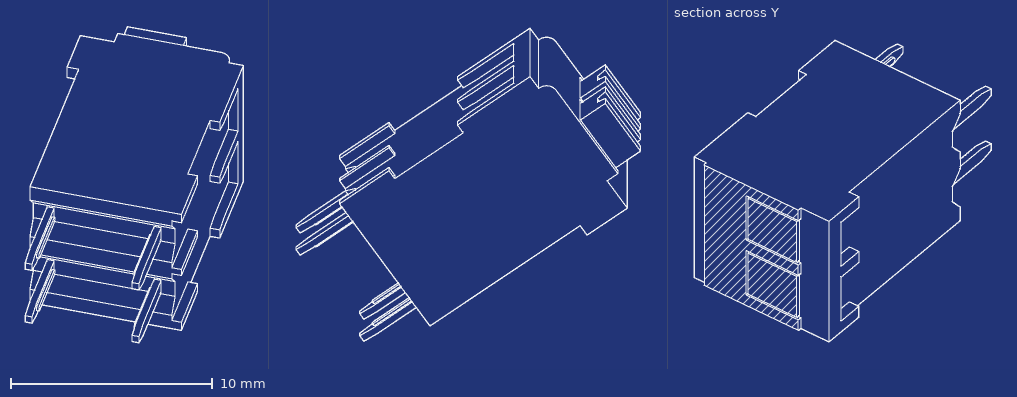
import cadquery as cq


pole_pitch = 3.5
pole_heights = (-pole_pitch / 2, pole_pitch / 2)

body_width = 7.8
body_length = 11.55
body_height = 7.7

head_left = 1.15
head_right = 7.05
head_end = 12.2
head_corner_radius = 0.6

button_left = 1.25
button_right = 4.3
button_end = 13.65
button_height = 2.65
button_notch_outer = 1.05
button_notch_inner = 0.55
button_notch_depth = 0.48
slot_right = 4.4
slot_height = 2.8
slot_chamfer_depth = 0.25
slot_chamfer_height = 0.2

frame_thickness = 0.6
frame_start = 9.1
frame_pocket_end = 10.55
pocket_height = 2.8

recess_depth = 0.5
recess_height = 3.1
gap_start = 3.0
gap_end = 7.15
mouth_taper_length = 0.8

groove_depth = 0.63
groove_mouth_height = 2.42
groove_floor_height = 0.98

pin_thickness = 0.36
pin_height = 0.8
pin_tip_height = 0.42
pin_length = 3.5
pin_taper_length = 0.8
left_pin_outer = 0.72
right_pin_outer = 6.58
rib_width = 0.34
rib_projection = 0.12
rib_start = -2.67
rib_length = 3.0


def box(x_start, x_end, y_start, y_end, z_center, height):
    """Block between two X and two Y limits, centred on a height."""
    size = (x_end - x_start, y_end - y_start, height)
    corner = cq.Vector(x_start, y_start, z_center - height / 2)
    return cq.Workplane(cq.Solid.makeBox(*size, corner))


def prism_along_x(points, x_start, x_end):
    """Closed (Y, Z) outline extruded between two X limits."""
    return cq.Workplane("YZ", origin=(x_start, 0, 0)).polyline(points).close().extrude(x_end - x_start)


def trapezoid_along_x(y_first, height_first, y_second, height_second, z_center, x_start, x_end):
    """Prism that changes height from one Y position to another."""
    points = [
        (y_first, z_center - height_first / 2),
        (y_second, z_center - height_second / 2),
        (y_second, z_center + height_second / 2),
        (y_first, z_center + height_first / 2),
    ]
    return prism_along_x(points, x_start, x_end)


def make_body():
    body = box(0, body_width, 0, body_length, 0, body_height)
    head_start = 2 * body_length - head_end
    head = box(head_left, head_right, head_start, head_end, 0, body_height)
    head = head.edges("|Z and >X and >Y").fillet(head_corner_radius)
    return body.union(head)


def add_left_frame(part):
    frame = box(-frame_thickness, 0, frame_start, body_length, 0, body_height)
    for z in pole_heights:
        frame = frame.cut(box(-frame_thickness, 0, frame_start, frame_pocket_end, z, pocket_height))
    return part.union(frame)


def cut_right_recess(part):
    recess_floor = body_width - recess_depth
    part = part.cut(box(recess_floor, body_width, gap_start, gap_end, 0, body_height))
    for z in pole_heights:
        part = part.cut(box(recess_floor, body_width, 0, gap_start, z, recess_height))
        part = part.cut(box(recess_floor, body_width, gap_end, frame_pocket_end, z, pocket_height))
        mouth = trapezoid_along_x(
            gap_end, recess_height, gap_end + mouth_taper_length, pocket_height,
            z, recess_floor, body_width,
        )
        part = part.cut(mouth)
    return part


def cut_pin_grooves(part):
    for z in pole_heights:
        groove = trapezoid_along_x(
            0, groove_mouth_height, groove_depth, groove_floor_height, z, 0, body_width
        )
        part = part.cut(groove)
    return part


def cut_button_slots(part):
    chamfer_start = head_end - slot_chamfer_depth
    mouth_height = slot_height + 2 * slot_chamfer_height
    for z in pole_heights:
        part = part.cut(box(head_left, slot_right, body_length, head_end, z, slot_height))
        mouth = trapezoid_along_x(
            chamfer_start, slot_height, head_end, mouth_height, z, head_left, slot_right
        )
        part = part.cut(mouth)
    return part


def make_button(z):
    button = box(button_left, button_right, body_length, button_end, z, button_height)
    notch = trapezoid_along_x(
        button_end, button_notch_outer, button_end - button_notch_depth, button_notch_inner,
        z, button_left, button_right,
    )
    return button.cut(notch)


def make_pin(outer_x, inward, z):
    """Flat tapered pin with a round-ended rib on its inner face; inward is +1 or -1 along X."""
    inner_x = outer_x + inward * pin_thickness
    x_start = min(outer_x, inner_x)
    x_end = max(outer_x, inner_x)
    taper_start = -pin_length + pin_taper_length
    shank = box(x_start, x_end, taper_start, groove_depth, z, pin_height)
    tip = trapezoid_along_x(
        -pin_length, pin_tip_height, taper_start, pin_height, z, x_start, x_end
    )
    rib_x = inner_x if inward > 0 else inner_x - rib_projection
    rib = (
        cq.Workplane("YZ", origin=(rib_x, rib_start + rib_length / 2, z))
        .slot2D(rib_length, rib_width)
        .extrude(rib_projection)
    )
    return shank.union(tip).union(rib)


result = make_body()
result = add_left_frame(result)
result = cut_right_recess(result)
result = cut_pin_grooves(result)
result = cut_button_slots(result)
for pole_z in pole_heights:
    result = result.union(make_button(pole_z))
    result = result.union(make_pin(left_pin_outer, 1, pole_z))
    result = result.union(make_pin(right_pin_outer, -1, pole_z))